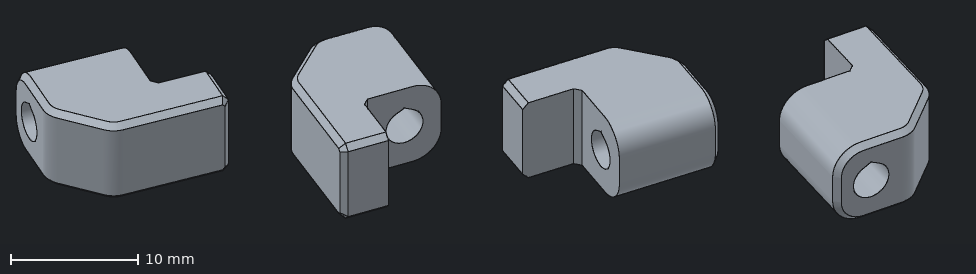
import cadquery as cq
import math

width = 10.9
length = 14.0
height = 7.4

block_length = 9.0
arm_width = 4.0
corner_cut = 4.0
corner_cut_radius = 2.0
inner_bevel = 0.5

side_radius = 2.5
edge_chamfer = 0.5

hole_radius = 1.6
hole_x = 3.2
hole_z = height / 2
hole_peak = 1.8

arm_x = width - arm_width
tolerance = 1e-3
facing_limit = 0.5


def base_body():
    """L-shaped plan with the outer corner cut off, extruded to full height."""
    outline = [
        (0, 0),
        (width - corner_cut, 0),
        (width, corner_cut),
        (width, length),
        (arm_x, length),
        (arm_x, block_length + inner_bevel),
        (arm_x - inner_bevel, block_length),
        (0, block_length),
    ]
    return cq.Workplane("XY").polyline(outline).close().extrude(height)


def blend_corner_cut(body):
    """Round the two vertical edges where the corner cut meets its neighbours."""
    for x, y in ((width - corner_cut, 0), (width, corner_cut)):
        edge = cq.selectors.NearestToPointSelector((x, y, height / 2))
        body = body.edges(edge).fillet(corner_cut_radius)
    return body


def outer_wall_rim(body):
    """Edges around the smooth wall formed by the front, the corner cut and the right side."""
    outward = cq.Vector(1, -1, 0).normalized()
    uses = {}
    for face in body.faces().vals():
        normal = face.normalAt()
        if abs(normal.z) < tolerance and normal.dot(outward) > facing_limit:
            for edge in face.Edges():
                uses.setdefault(edge.hashCode(), []).append(edge)
    return [edges[0] for edges in uses.values() if len(edges) == 1]


def peaked_hole():
    """Round bore whose roof is two flats tangent to the circle, meeting in a peak."""
    roof_slope = math.acos(hole_radius / hole_peak)
    tangent_x = hole_radius * math.sin(roof_slope)
    tangent_z = hole_radius * math.cos(roof_slope)
    return (
        cq.Workplane("XZ", origin=(hole_x, 0, hole_z))
        .moveTo(tangent_x, tangent_z)
        .lineTo(0, hole_peak)
        .lineTo(-tangent_x, tangent_z)
        .threePointArc((0, -hole_radius), (tangent_x, tangent_z))
        .close()
        .extrude(-block_length)
    )


body = blend_corner_cut(base_body())
body = body.faces("<X").edges("|Y").fillet(side_radius)
body = body.faces(">Y").edges("|X").chamfer(edge_chamfer)
body = body.newObject(outer_wall_rim(body)).chamfer(edge_chamfer)

result = body.cut(peaked_hole())